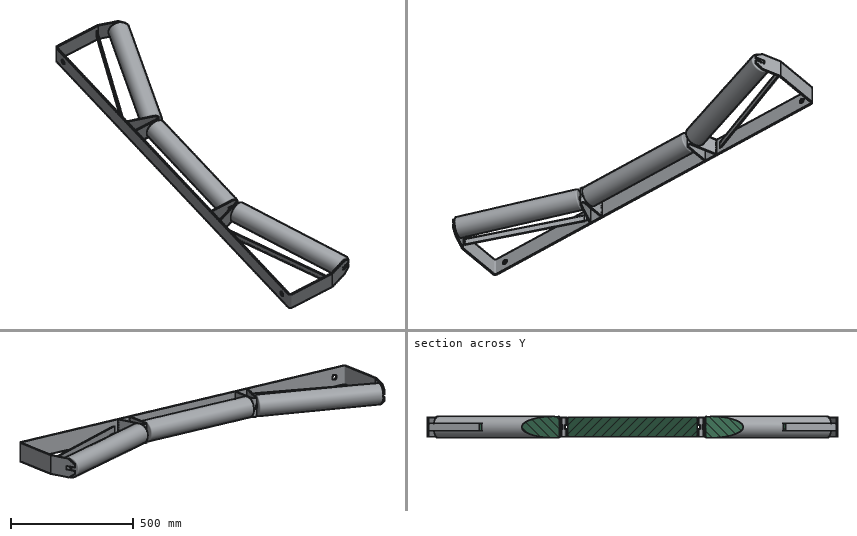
import cadquery as cq
import math

FRAME_LENGTH = 1680.0
STRIP_WIDTH = 80.0
SHEET = 6.0
THIN_SHEET = 5.0
TROUGH_ANGLE = 20.0
BEND_RADIUS = 12.0
BRACKET_RADIUS = 12.8

FOLD_HEIGHT = 213.0
PLATE_LENGTH = 118.0
TIP_WIDTH = 40.0
TIP_CHAMFER_LENGTH = 30.0
AXLE_FROM_FOLD = 85.0

ROLLER_DIAMETER = 89.0
ROLLER_LENGTH = 531.0
ROLLER_EDGE_RADIUS = 5.0
ROLLER_GAP = 4.2
AXLE_DIAMETER = 20.0
AXLE_FLATS = 15.0
CENTRE_AXLE_HEIGHT = 99.0

HOLE_DIAMETER = 22.0
HOLE_FROM_END = 57.0

BRACE_WIDTH = 30.0
BRACE_HEIGHT = 202.0
BRACE_FOOT = 363.0

HALF_LENGTH = FRAME_LENGTH / 2
SIN = math.sin(math.radians(TROUGH_ANGLE))
COS = math.cos(math.radians(TROUGH_ANGLE))
TAN = SIN / COS
SPAN = ROLLER_LENGTH + 2 * ROLLER_GAP
AXLE_LENGTH = SPAN + 2 * SHEET


def from_fold(along_axle, along_plate):
    """Point on the left side, measured from the fold along the axle and along the end plate."""
    return (-HALF_LENGTH + along_axle * COS + along_plate * SIN,
            FOLD_HEIGHT - along_axle * SIN + along_plate * COS)


LEFT_ROLLER_CENTRE = from_fold(AXLE_LENGTH / 2, AXLE_FROM_FOLD)
CENTRE_ROLLER_CENTRE = (0, CENTRE_AXLE_HEIGHT)


def extrude_centred(points, width):
    """Solid from an XY outline, centred on Z = 0."""
    return cq.Workplane("XY").workplane(offset=-width / 2).polyline(points).close().extrude(width)


def round_edge(body, point, radius):
    """Fillet the Z-parallel edge that stands on an XY point."""
    return body.edges(cq.selectors.NearestToPointSelector((*point, 0))).fillet(radius)


def mirror_x(body):
    """Right-hand twin of a left-hand body."""
    return body.mirror("YZ")


def place(body, centre, tilt):
    """Turn a body that lies along X about Z, then move it to its centre."""
    return body.rotate((0, 0, 0), (0, 0, 1), tilt).translate((*centre, 0))


def cylinder_along_x(diameter, length):
    return cq.Workplane("YZ").workplane(offset=-length / 2).circle(diameter / 2).extrude(length)


def make_axle():
    """Axle along X with two flats, one on each Z side."""
    flats = cq.Workplane("XY").box(AXLE_LENGTH, AXLE_DIAMETER, AXLE_FLATS)
    return cylinder_along_x(AXLE_DIAMETER, AXLE_LENGTH).intersect(flats)


def make_roller():
    """Roller shell with rounded rims and its axle standing out at both ends."""
    shell = cylinder_along_x(ROLLER_DIAMETER, ROLLER_LENGTH).edges("%CIRCLE").fillet(ROLLER_EDGE_RADIUS)
    return shell.union(make_axle())


def make_slots(height):
    """Cutter for the two open slots that hold one axle, rounded under the axle."""
    opening = cq.Workplane("XY").box(AXLE_LENGTH, height, AXLE_FLATS, centered=(True, False, True))
    return make_axle().union(opening)


def end_plate_tip_cutter():
    """Removes the two corners of the tilted left end plate."""
    half = STRIP_WIDTH / 2
    corner = (
        cq.Workplane("YZ")
        .moveTo(PLATE_LENGTH, half)
        .lineTo(PLATE_LENGTH - TIP_CHAMFER_LENGTH, half)
        .lineTo(PLATE_LENGTH, TIP_WIDTH / 2)
        .close()
        .extrude(SHEET)
    )
    return place(corner.union(corner.mirror("XY")), from_fold(0, 0), -TROUGH_ANGLE)


def make_frame_half():
    """Left half of the base strip with its upright and tilted end plate."""
    inner_x = -HALF_LENGTH + SHEET
    inner_fold = FOLD_HEIGHT - SHEET * math.tan(math.radians(TROUGH_ANGLE / 2))
    tip_outer = from_fold(0, PLATE_LENGTH)
    tip_inner = from_fold(SHEET, PLATE_LENGTH)
    outline = [(0, 0), (-HALF_LENGTH, 0), (-HALF_LENGTH, FOLD_HEIGHT), tip_outer,
               tip_inner, (inner_x, inner_fold), (inner_x, SHEET), (0, SHEET)]
    half = extrude_centred(outline, STRIP_WIDTH)
    half = round_edge(half, (-HALF_LENGTH, 0), BEND_RADIUS)
    half = round_edge(half, (inner_x, SHEET), BEND_RADIUS - SHEET)

    hole_x = -HALF_LENGTH + HOLE_FROM_END
    hole = cq.Workplane("XZ").center(hole_x, 0).circle(HOLE_DIAMETER / 2).extrude(-SHEET)
    slot = place(make_slots(PLATE_LENGTH), LEFT_ROLLER_CENTRE, -TROUGH_ANGLE)
    return half.cut(end_plate_tip_cutter()).cut(slot).cut(hole)


def make_frame():
    half = make_frame_half()
    return half.union(mirror_x(half))


def make_brace():
    """Left brace: square upper end against the upright, foot cut level on the base strip."""
    touch_x = -HALF_LENGTH + SHEET
    slope = math.atan2(BRACE_HEIGHT - SHEET, -BRACE_FOOT - touch_x)
    upper_end = (touch_x + THIN_SHEET * math.sin(slope), BRACE_HEIGHT + THIN_SHEET * math.cos(slope))
    upper_foot = (-BRACE_FOOT + THIN_SHEET / math.sin(slope), SHEET)
    outline = [(touch_x, BRACE_HEIGHT), upper_end, upper_foot, (-BRACE_FOOT, SHEET)]
    return extrude_centred(outline, BRACE_WIDTH)


def bracket_wedge(vertical_x, tilted_offset, radius):
    """Wedge between a vertical face and a tilted face, its apex rounded."""
    top_x, top_y = from_fold(tilted_offset, 0)
    foot_x = top_x - (top_y - SHEET) * TAN
    apex = (vertical_x, SHEET + (vertical_x - foot_x) / TAN)
    wedge = extrude_centred([(foot_x, SHEET), (vertical_x, SHEET), apex], STRIP_WIDTH)
    return round_edge(wedge, apex, radius)


def make_bracket():
    """Left inner bracket: a strip bent over, carrying one outer and the centre roller."""
    outer = bracket_wedge(-SPAN / 2, SHEET + SPAN, BRACKET_RADIUS)
    inner = bracket_wedge(-SPAN / 2 - THIN_SHEET, SHEET + SPAN + THIN_SHEET, BRACKET_RADIUS - THIN_SHEET)
    bracket = outer.cut(inner)
    bracket = bracket.cut(place(make_slots(STRIP_WIDTH), LEFT_ROLLER_CENTRE, -TROUGH_ANGLE))
    return bracket.cut(place(make_slots(STRIP_WIDTH), CENTRE_ROLLER_CENTRE, 0))


frame = make_frame()

roller_places = [
    (LEFT_ROLLER_CENTRE, -TROUGH_ANGLE),
    (CENTRE_ROLLER_CENTRE, 0),
    ((-LEFT_ROLLER_CENTRE[0], LEFT_ROLLER_CENTRE[1]), TROUGH_ANGLE),
]
rollers = [place(make_roller(), centre, tilt) for centre, tilt in roller_places]

braces = []
brackets = []
for to_side in (lambda body: body, mirror_x):
    braces.append(to_side(make_brace()))
    brackets.append(to_side(make_bracket()))

bodies = [frame, *rollers, *braces, *brackets]
result = cq.Compound.makeCompound([body.solids().val() for body in bodies])